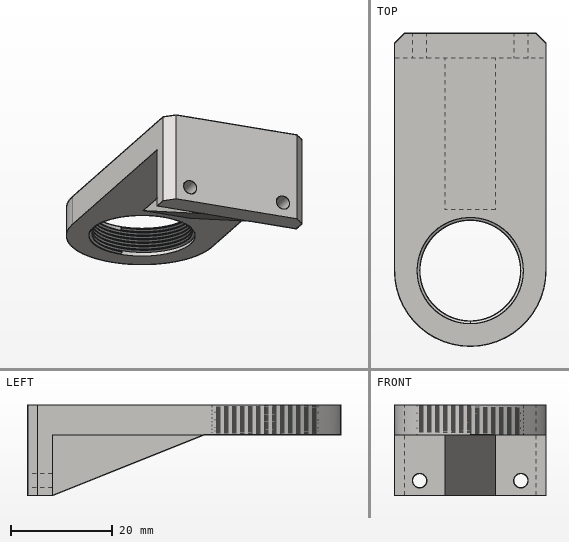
import cadquery as cq

width = 30.0
length = 62
height = 18
plate_thickness = 5.95
end_radius = width / 2
corner_chamfer = 2.0

wall_thickness = 4.9
gusset_width = width / 3
gusset_length = 30.0

screw_diameter = 2.8
screw_spacing = 20.0
screw_height = 3.0

thread_major_diameter = 21.0
thread_minor_diameter = 19.9
thread_pitch = 0.75
thread_turns = 7
ridge_root_width = 0.7
ridge_crest_width = 0.1
ridge_root_overlap = 0.1

rear_y = length - end_radius
wall_front_y = rear_y - wall_thickness
plate_bottom = height - plate_thickness


def make_plate():
    """Flat plate with one round end."""
    return (
        cq.Workplane("XY", origin=(0, 0, plate_bottom))
        .moveTo(-end_radius, 0)
        .threePointArc((0, -end_radius), (end_radius, 0))
        .lineTo(end_radius, rear_y)
        .lineTo(-end_radius, rear_y)
        .close()
        .extrude(plate_thickness)
    )


def make_wall():
    """Full-height wall across the square end."""
    return (
        cq.Workplane("XY")
        .box(width, wall_thickness, height, centered=(True, False, False))
        .translate((0, wall_front_y, 0))
    )


def make_gusset():
    """Triangular rib between the wall and the underside of the plate."""
    return (
        cq.Workplane("YZ")
        .moveTo(wall_front_y, 0)
        .lineTo(wall_front_y, plate_bottom)
        .lineTo(wall_front_y - gusset_length, plate_bottom)
        .close()
        .extrude(gusset_width / 2, both=True)
    )


def make_screw_holes():
    """Cutters for the two screw holes, running along Y."""
    return (
        cq.Workplane("XZ", origin=(0, rear_y, 0))
        .pushPoints([(side * screw_spacing / 2, screw_height) for side in (-1, 1)])
        .circle(screw_diameter / 2)
        .extrude(wall_thickness)
    )


def make_thread_ridge():
    """Helical ridge standing inward from the bore wall, starting on the -Y side."""
    root_radius = thread_major_diameter / 2 + ridge_root_overlap
    crest_radius = thread_minor_diameter / 2
    rise = thread_turns * thread_pitch
    start_z = plate_bottom + (plate_thickness - rise) / 2
    path = cq.Wire.makeHelix(thread_pitch, rise, thread_major_diameter / 2)
    ridge = (
        cq.Workplane("XZ")
        .moveTo(root_radius, -ridge_root_width / 2)
        .lineTo(crest_radius, -ridge_crest_width / 2)
        .lineTo(crest_radius, ridge_crest_width / 2)
        .lineTo(root_radius, ridge_root_width / 2)
        .close()
        .sweep(cq.Workplane(obj=path), isFrenet=True)
    )
    return ridge.rotate((0, 0, 0), (0, 0, 1), -90).translate((0, 0, start_z))


bore = (
    cq.Workplane("XY", origin=(0, 0, plate_bottom))
    .circle(thread_major_diameter / 2)
    .extrude(plate_thickness)
)

result = (
    make_plate()
    .union(make_wall())
    .edges("|Z and >Y")
    .chamfer(corner_chamfer)
    .union(make_gusset())
    .cut(make_screw_holes())
    .cut(bore)
    .union(make_thread_ridge())
)